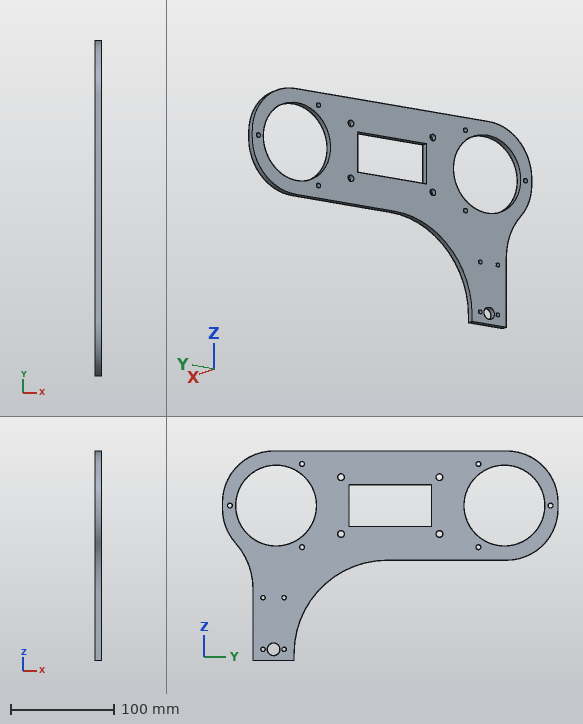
import cadquery as cq
import math

thickness = 6.35
length = 324.94
total_height = 203.08
plate_start_x = -thickness / 2

head_height = 106.0
corner_radius = 50.0
top_z = total_height / 2
bottom_z = -total_height / 2
head_bottom_z = top_z - head_height
head_middle_z = top_z - head_height / 2
half_length = length / 2
corner_y = half_length - corner_radius
upper_corner_z = top_z - corner_radius
lower_corner_z = head_bottom_z + corner_radius

leg_width = 40.0
leg_middle_y = -112.9
leg_outer_y = leg_middle_y - leg_width / 2
leg_inner_y = leg_middle_y + leg_width / 2
inner_blend_radius = 90.0
outer_blend_radius = 66.5

gauge_diameter = 78.0
gauge_y = 110.47
gauge_screw_diameter = 4.5
gauge_screw_count = 3
gauge_screw_circle_radius = 46.5
gauge_screw_circle_y = 108.6

window_width = 79.5
window_height = 40.2
window_screw_diameter = 6.3
window_screw_spacing_y = 95.2
window_screw_spacing_z = 55.0

leg_screw_diameter = 4.0
leg_screw_spacing_y = 20.4
leg_screw_spacing_z = 50.0
leg_bore_diameter = 12.0
leg_bore_z = bottom_z + 11.0


def point_on_circle(center_y, center_z, radius, angle):
    """Point at an angle in degrees, measured from +Y towards +Z."""
    radians = math.radians(angle)
    return (center_y + radius * math.cos(radians), center_z + radius * math.sin(radians))


def plate_workplane():
    """Workplane on the -X face, from which the plate and its cutters are extruded."""
    return cq.Workplane("YZ", origin=(plate_start_x, 0, 0))


def plate_outline():
    blend_y = leg_outer_y - outer_blend_radius
    center_distance = corner_radius + outer_blend_radius
    center_offset_y = blend_y + corner_y
    blend_drop = math.sqrt(center_distance**2 - center_offset_y**2)
    blend_z = lower_corner_z - blend_drop
    blend_end_angle = math.degrees(math.atan2(blend_drop, -corner_y - blend_y))
    corner_end_angle = 180 + blend_end_angle
    blend_end = point_on_circle(blend_y, blend_z, outer_blend_radius, blend_end_angle)
    blend_mid = point_on_circle(blend_y, blend_z, outer_blend_radius, blend_end_angle / 2)
    corner_mid = point_on_circle(-corner_y, lower_corner_z, corner_radius, (180 + corner_end_angle) / 2)

    inner_y = leg_inner_y + inner_blend_radius
    inner_z = head_bottom_z - inner_blend_radius
    inner_mid = point_on_circle(inner_y, inner_z, inner_blend_radius, 135)

    return (
        plate_workplane()
        .moveTo(leg_inner_y, bottom_z)
        .lineTo(leg_outer_y, bottom_z)
        .lineTo(leg_outer_y, blend_z)
        .threePointArc(blend_mid, blend_end)
        .threePointArc(corner_mid, (-half_length, lower_corner_z))
        .lineTo(-half_length, upper_corner_z)
        .threePointArc(
            point_on_circle(-corner_y, upper_corner_z, corner_radius, 135),
            (-corner_y, top_z),
        )
        .lineTo(corner_y, top_z)
        .threePointArc(
            point_on_circle(corner_y, upper_corner_z, corner_radius, 45),
            (half_length, upper_corner_z),
        )
        .lineTo(half_length, lower_corner_z)
        .threePointArc(
            point_on_circle(corner_y, lower_corner_z, corner_radius, -45),
            (corner_y, head_bottom_z),
        )
        .lineTo(inner_y, head_bottom_z)
        .threePointArc(inner_mid, (leg_inner_y, inner_z))
        .close()
    )


def through_holes(points, diameter):
    return plate_workplane().pushPoints(points).circle(diameter / 2).extrude(thickness)


def rectangle_corners(center_y, center_z, spacing_y, spacing_z):
    return [
        (center_y + side_y * spacing_y / 2, center_z + side_z * spacing_z / 2)
        for side_y in (-1, 1)
        for side_z in (-1, 1)
    ]


def cut_gauge(plate, side):
    """Gauge opening at the +Y end (side 1) or the -Y end (side -1)."""
    outward_angle = 0 if side > 0 else 180
    screws = [
        point_on_circle(
            side * gauge_screw_circle_y,
            head_middle_z,
            gauge_screw_circle_radius,
            outward_angle + index * 360 / gauge_screw_count,
        )
        for index in range(gauge_screw_count)
    ]
    plate = plate.cut(through_holes([(side * gauge_y, head_middle_z)], gauge_diameter))
    return plate.cut(through_holes(screws, gauge_screw_diameter))


def cut_window(plate):
    window = plate_workplane().center(0, head_middle_z).rect(window_width, window_height).extrude(thickness)
    screws = rectangle_corners(0, head_middle_z, window_screw_spacing_y, window_screw_spacing_z)
    return plate.cut(window).cut(through_holes(screws, window_screw_diameter))


def cut_leg_holes(plate):
    screws = rectangle_corners(
        leg_middle_y,
        leg_bore_z + leg_screw_spacing_z / 2,
        leg_screw_spacing_y,
        leg_screw_spacing_z,
    )
    plate = plate.cut(through_holes([(leg_middle_y, leg_bore_z)], leg_bore_diameter))
    return plate.cut(through_holes(screws, leg_screw_diameter))


result = plate_outline().extrude(thickness)
for gauge_side in (-1, 1):
    result = cut_gauge(result, gauge_side)
result = cut_window(result)
result = cut_leg_holes(result)